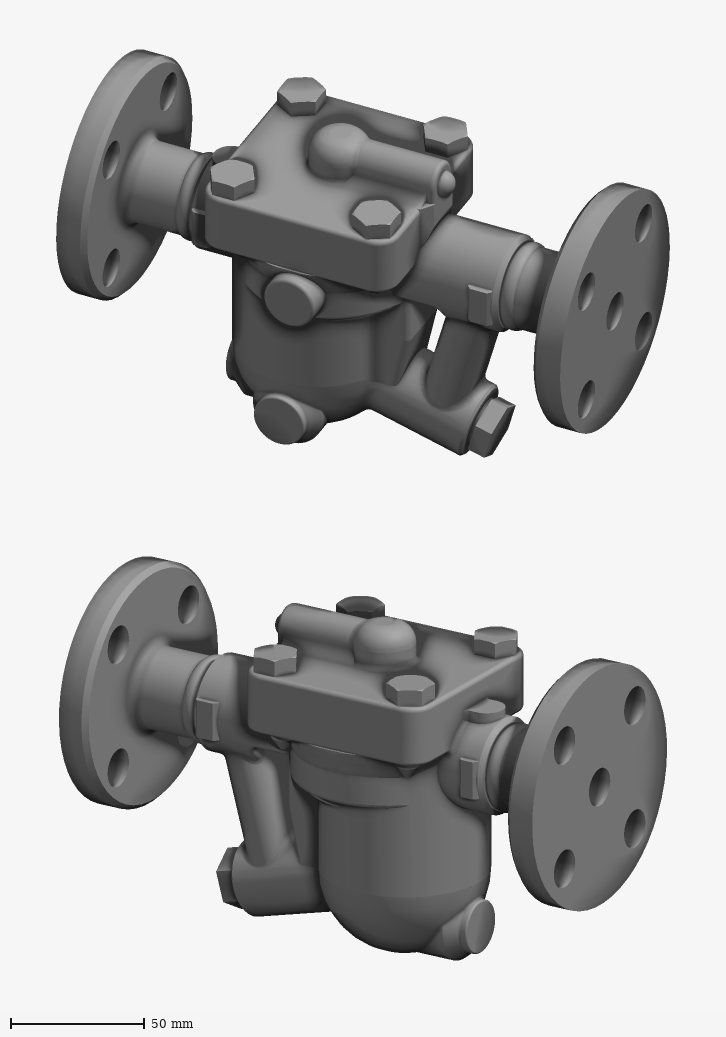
import cadquery as cq
import math


touch_tolerance = 1e-4

pick_margin = 0.5

arc_inset = 1 - math.sqrt(0.5)

face_to_face = 210.0
flange_diameter = 95.0
flange_thickness = 12.0
flange_chamfer = 2.0
bolt_circle = 70.0
bolt_hole_diameter = 15.0
bolt_hole_count = 4
first_bolt_hole_angle = 45.0
bore_diameter = 15.0
bore_depth = 20.0
pipe_diameter = 32.0
hub_fillet = 3.8
weld_inner_x = 64.5
weld_outer_x = 70.3
weld_height = 1.2
port_diameter = 38.0
port_chamfer = 1.8

inlet_pad_length = 7.8
outlet_pad_length = 9.8
pad_outer_x = 62.5
pad_height = 15.0
pads_across = 40.0
pad_chamfer = 1.4
inlet_pad_width = 14.2
inlet_pad_end_x = -62.0
inlet_pad_top_z = 22.2

cover_x = -10.0
cover_side = 80.0
cover_corner = 9.0
cover_top_z = 32.0
joint_z = 22.2
body_flange_bottom_z = 8.6
cover_top_fillet = 1.8
inlet_blend = 2.0
body_flange_fillet = 1.5

bolt_offset = 30.0
bolt_across_flats = 16.0
bolt_head_top_z = 38.5
bolt_head_chamfer = 0.4
bolt_head_chamfer_width = 1.0
lug_offset = 27.5
lug_radius = 4.7
lug_shoulder_z = 4.0
lug_tip_radius = 1.2
lug_tip_z = -0.6

dome_x = -9.5
dome_diameter = 24.0
dome_top_z = 47.0
dome_fillet = 8.0
dome_foot_fillet = 2.0
passage_radius = 8.0
passage_top_z = 45.8
passage_end_x = 33.4
passage_foot_fillet = 5.0
passage_end_fillet = 1.8
passage_slope_z = 22.0
passage_blend = 4.0
boss_arc_rise = 1.0
boss_arc_inset = 1.5
pin_diameter = 10.0
pin_z = 37.0
pin_inset = 0.3

body_x = -18.5
body_radius = 32.5
bottom_z = -82.08
sphere_z = bottom_z + body_radius
barrel_top_z = body_flange_bottom_z + 2 * body_flange_fillet

band_x = -11.5
band_radius = 37.0
band_top_z = -1.2
band_bottom_z = -14.0
band_fillet = 2.0
band_undercut = 3.6
flare_radius = 40.4

plug_diameter = 21.0
plug_fillet = 1.5
upper_plug_x = dome_x
upper_plug_z = -3.0
upper_plug_end_y = -45.0
drain_diameter = 29.0
drain_tip_length = 3.0
drain_cone_length = 8.0
drain_tip_fillet = 0.8
drain_blend = 1.0
inlet_drain_z = -67.0
inlet_drain_end_x = -52.4
front_drain_z = -66.2
front_drain_end_y = -34.8

rib_end_x = 25.6
rib_half_width = 13.8
rib_root_x = 9.7
rib_flat_x = 13.9
rib_root_bow = 0.6
rib_root_sink = 0.15
rib_fillet = 3.0
rib_bend_z = -30.0
rib_foot_x = 20.8
rib_foot_z = -52.0

strainer_angle = 15.0
strainer_diameter = 30.0
strainer_length = 69.7
strainer_chamfer = 1.0
collar_diameter = 20.0
collar_length = 1.5
strainer_hex_across = 21.0
strainer_hex_length = 7.0
strainer_hex_turn = 30.0
leg_radius = 8.5
leg_flat = 1.6
leg_depth = 26.0
leg_top_x = 46.9
leg_top_z = -19.1
leg_reach_up = 12.0
leg_reach_down = 42.0
leg_blend = 3.0
strainer_blend = 4.0

relief_top_z = -7.8
relief_end_x = 39.3
relief_fillet = 3.0
relief_rim_fillet = 2.0


def cylinder(start, direction, diameter, length):
    """Cylinder from a start point along a direction."""
    solid = cq.Solid.makeCylinder(diameter / 2, length, cq.Vector(*start), cq.Vector(*direction))
    return cq.Workplane(obj=solid)


def blend(first, second, radius, region=None):
    """Union of two parts with a fillet where their surfaces meet, optionally only inside a region."""
    joined = first.union(second)
    first_skin = first.val().Shells()[0]
    second_skin = second.val().Shells()[0]
    edges = []
    for edge in joined.edges(region).vals():
        middle = cq.Vertex.makeVertex(*edge.positionAt(0.5).toTuple())
        if max(middle.distance(first_skin), middle.distance(second_skin)) < touch_tolerance:
            edges.append(edge)
    return joined.newObject(edges).fillet(radius)


def hexagon_diameter(across_flats):
    """Diameter across the corners of a hexagon."""
    return across_flats / math.cos(math.pi / 6)


def pipe_end():
    """Flange, hub fillet, pipe and weld bead of the inlet end, as one revolved outline."""
    face_x = -face_to_face / 2
    back_x = face_x + flange_thickness
    flange_radius = flange_diameter / 2
    pipe_radius = pipe_diameter / 2
    fillet_rise = hub_fillet * arc_inset
    weld_middle_x = -(weld_inner_x + weld_outer_x) / 2
    return (
        cq.Workplane("XZ")
        .moveTo(face_x, 0)
        .lineTo(face_x, flange_radius)
        .lineTo(back_x - flange_chamfer, flange_radius)
        .lineTo(back_x, flange_radius - flange_chamfer)
        .lineTo(back_x, pipe_radius + hub_fillet)
        .threePointArc((back_x + fillet_rise, pipe_radius + fillet_rise), (back_x + hub_fillet, pipe_radius))
        .lineTo(-weld_outer_x, pipe_radius)
        .threePointArc((weld_middle_x, pipe_radius + weld_height), (-weld_inner_x, pipe_radius))
        .lineTo(-weld_inner_x, 0)
        .close()
        .revolve(360, (0, 0, 0), (1, 0, 0))
    )


def bore_and_bolt_holes():
    """Blind bore and bolt holes of the inlet flange."""
    face_x = -face_to_face / 2
    holes = cylinder((face_x, 0, 0), (1, 0, 0), bore_diameter, bore_depth)
    for i in range(bolt_hole_count):
        angle = math.radians(first_bolt_hole_angle + i * 360 / bolt_hole_count)
        y = bolt_circle / 2 * math.cos(angle)
        z = bolt_circle / 2 * math.sin(angle)
        holes = holes.union(cylinder((face_x, y, z), (1, 0, 0), bolt_hole_diameter, flange_thickness))
    return holes


def inlet_port():
    port = cylinder((-weld_inner_x, 0, 0), (1, 0, 0), port_diameter, weld_inner_x + body_x)
    return port.faces("<X").chamfer(port_chamfer)


def outlet_port():
    """Outlet port, relieved underneath between the body and the leg."""
    port = cylinder((cover_x, 0, 0), (1, 0, 0), port_diameter, weld_inner_x - cover_x)
    port = port.faces(">X").chamfer(port_chamfer)
    relief_height = port_diameter
    relief = (
        cq.Workplane("XY")
        .box(relief_end_x - cover_x, 2 * port_diameter, relief_height, centered=(False, True, False))
        .translate((cover_x, 0, relief_top_z - relief_height))
        .edges(">X and >Z")
        .fillet(relief_fillet)
    )
    relieved = port.cut(relief)
    rim = cq.selectors.BoxSelector(
        (cover_x + pick_margin, -port_diameter, -port_diameter),
        (relief_end_x + pick_margin, port_diameter, relief_top_z + pick_margin),
    )
    return relieved.edges(rim).edges("not |Y").fillet(relief_rim_fillet)


def wrench_pads():
    """Flat pads on both sides of each port."""
    pads = cq.Workplane("XY")
    for side, length in ((-1, inlet_pad_length), (1, outlet_pad_length)):
        pad = (
            cq.Workplane("XY")
            .box(length, pads_across, pad_height)
            .edges("|Z")
            .chamfer(pad_chamfer)
            .translate((side * (pad_outer_x - length / 2), 0, 0))
        )
        pads = pads.union(pad)
    return pads


def inlet_pad():
    """Round-ended pad on top of the inlet port."""
    end_radius = inlet_pad_width / 2
    round_x = inlet_pad_end_x + end_radius
    run = cover_x - cover_side / 2 - round_x
    block = cq.Workplane("XY").circle(end_radius).extrude(inlet_pad_top_z)
    block = block.union(
        cq.Workplane("XY").box(run, inlet_pad_width, inlet_pad_top_z, centered=(False, True, False))
    )
    return block.translate((round_x, 0, 0))


def plate(bottom_z, top_z):
    """Square plate with rounded corners, centred on the cover."""
    return (
        cq.Workplane("XY", origin=(cover_x, 0, bottom_z))
        .rect(cover_side, cover_side)
        .extrude(top_z - bottom_z)
        .edges("|Z")
        .fillet(cover_corner)
    )


def cover():
    return plate(joint_z, cover_top_z).faces(">Z").edges().fillet(cover_top_fillet)


def body_flange():
    return plate(body_flange_bottom_z, joint_z).faces("<Z").edges().fillet(body_flange_fillet)


def cover_bolts():
    """Hexagon heads, each turned a quarter from its neighbours."""
    bolts = cq.Workplane("XY")
    head_diameter = hexagon_diameter(bolt_across_flats)
    head_height = bolt_head_top_z - cover_top_z
    rounding = (
        cq.Workplane("XY")
        .circle(head_diameter / 2)
        .extrude(head_height)
        .faces(">Z")
        .chamfer(bolt_head_chamfer, bolt_head_chamfer_width)
    )
    for side_x in (-1, 1):
        for side_y in (-1, 1):
            head = (
                cq.Workplane("XY")
                .polygon(6, head_diameter)
                .extrude(head_height)
                .intersect(rounding)
                .rotate((0, 0, 0), (0, 0, 1), 90 if side_x != side_y else 0)
            )
            x = cover_x + side_x * bolt_offset
            bolts = bolts.union(head.translate((x, side_y * bolt_offset, cover_top_z)))
    return bolts


def bolt_lugs():
    """Pointed lugs under the body flange, one near each cover bolt."""
    root_z = body_flange_bottom_z + body_flange_fillet
    lug = (
        cq.Workplane("XZ")
        .moveTo(0, root_z)
        .lineTo(lug_radius, root_z)
        .lineTo(lug_radius, lug_shoulder_z)
        .lineTo(lug_tip_radius, lug_tip_z)
        .lineTo(0, lug_tip_z)
        .close()
        .revolve(360, (0, 0, 0), (0, 1, 0))
    )
    lugs = cq.Workplane("XY")
    for side_x in (-1, 1):
        for side_y in (-1, 1):
            lugs = lugs.union(lug.translate((dome_x + side_x * lug_offset, side_y * lug_offset, 0)))
    return lugs


def dome():
    """Round-topped dome on the cover."""
    height = dome_top_z - cover_top_z
    whole = cylinder((dome_x, 0, cover_top_z), (0, 0, 1), dome_diameter, height)
    return whole.faces(">Z").edges().fillet(dome_fillet)


def dome_foot():
    """Concave fillet ring around the dome."""
    radius = dome_diameter / 2
    arc = dome_foot_fillet * arc_inset
    return (
        cq.Workplane("XZ")
        .moveTo(0, cover_top_z)
        .lineTo(radius + dome_foot_fillet, cover_top_z)
        .threePointArc((radius + arc, cover_top_z + arc), (radius, cover_top_z + dome_foot_fillet))
        .lineTo(0, cover_top_z + dome_foot_fillet)
        .close()
        .revolve(360, (0, 0, 0), (0, 1, 0))
        .translate((dome_x, 0, 0))
    )


def passage_tube():
    """Arched tube from the dome to the outlet side."""
    centre_z = passage_top_z - passage_radius
    return (
        cq.Workplane("YZ", origin=(cover_x, 0, 0))
        .moveTo(-passage_radius, cover_top_z)
        .lineTo(-passage_radius, centre_z)
        .threePointArc((0, passage_top_z), (passage_radius, centre_z))
        .lineTo(passage_radius, cover_top_z)
        .close()
        .extrude(passage_end_x - cover_x)
        .faces(">X")
        .edges(">Z")
        .fillet(passage_end_fillet)
    )


def passage_foot():
    """Concave fillets along both sides of the tube, where it rises from the cover."""
    r = passage_radius
    f = passage_foot_fillet
    arc = f * arc_inset
    return (
        cq.Workplane("YZ", origin=(cover_x, 0, cover_top_z))
        .moveTo(-r - f, 0)
        .threePointArc((-r - arc, arc), (-r, f))
        .lineTo(r, f)
        .threePointArc((r + arc, arc), (r + f, 0))
        .close()
        .extrude(cover_side / 2)
    )


def passage_boss():
    """Upright boss on the outlet side of the cover, under the end of the tube."""
    foot_x = cover_x + cover_side / 2
    half_root = passage_radius + passage_foot_fillet
    plan = (
        cq.Workplane("XY", origin=(0, 0, band_top_z))
        .moveTo(cover_x, -half_root)
        .lineTo(foot_x, -half_root)
        .threePointArc((foot_x + boss_arc_rise, -half_root + boss_arc_inset), (passage_end_x, -passage_radius))
        .lineTo(passage_end_x, passage_radius)
        .threePointArc((foot_x + boss_arc_rise, half_root - boss_arc_inset), (foot_x, half_root))
        .lineTo(cover_x, half_root)
        .close()
        .extrude(cover_top_z - band_top_z)
    )
    side = (
        cq.Workplane("XZ")
        .moveTo(cover_x, band_top_z)
        .lineTo(rib_end_x, band_top_z)
        .lineTo(passage_end_x, passage_slope_z)
        .lineTo(passage_end_x, cover_top_z)
        .lineTo(cover_x, cover_top_z)
        .close()
        .extrude(half_root, both=True)
    )
    return plan.intersect(side)


def lifting_pin():
    pin = cq.Workplane("XY").sphere(pin_diameter / 2).rotate((0, 0, 0), (0, 1, 0), 90)
    return pin.translate((passage_end_x - pin_inset, 0, pin_z))


def trap_body():
    """Upright barrel closed by a hemisphere."""
    barrel = cylinder((body_x, 0, sphere_z), (0, 0, 1), 2 * body_radius, barrel_top_z - sphere_z)
    return barrel.union(cq.Workplane("XY").sphere(body_radius).translate((body_x, 0, sphere_z)))


def chamber_band():
    """Valve chamber: a cylinder that curves back to the body below and flares up to the body flange."""
    undercut_radius = band_radius - band_fillet - band_undercut
    undercut_z = band_bottom_z - band_undercut
    bow = band_undercut * arc_inset
    edge_bow = band_fillet * arc_inset
    edge_top_z = band_bottom_z + band_fillet
    profile = (
        cq.Workplane("XZ")
        .moveTo(0, undercut_z)
        .lineTo(undercut_radius, undercut_z)
        .threePointArc((undercut_radius + bow, band_bottom_z - bow), (band_radius - band_fillet, band_bottom_z))
        .threePointArc((band_radius - edge_bow, band_bottom_z + edge_bow), (band_radius, edge_top_z))
        .lineTo(band_radius, band_top_z)
        .lineTo(flare_radius, body_flange_bottom_z)
        .lineTo(0, body_flange_bottom_z)
        .close()
    )
    band = profile.revolve(360, (0, 0, 0), (0, 1, 0)).translate((band_x, 0, 0))
    return band.intersect(plate(undercut_z, cover_top_z))


def passage_rib():
    """Rib down the outlet side, flared into the round body and cut back at its foot."""
    w = rib_half_width
    root_angle = math.acos((rib_root_x - body_x) / body_radius)
    root_y = body_radius * math.sin(root_angle) - rib_root_sink
    bow = rib_root_bow
    middle_x = (rib_root_x + rib_flat_x) / 2 - bow / 2
    middle_y = (root_y + w) / 2 - bow
    plan = (
        cq.Workplane("XY", origin=(0, 0, rib_foot_z))
        .moveTo(body_x, -root_y)
        .lineTo(rib_root_x, -root_y)
        .threePointArc((middle_x, -middle_y), (rib_flat_x, -w))
        .lineTo(rib_end_x, -w)
        .lineTo(rib_end_x, w)
        .lineTo(rib_flat_x, w)
        .threePointArc((middle_x, middle_y), (rib_root_x, root_y))
        .lineTo(body_x, root_y)
        .close()
        .extrude(band_top_z - rib_foot_z)
    )
    side = (
        cq.Workplane("XZ")
        .moveTo(body_x, band_top_z)
        .lineTo(rib_end_x, band_top_z)
        .lineTo(rib_end_x, rib_bend_z)
        .lineTo(rib_foot_x, rib_foot_z)
        .lineTo(body_x, rib_foot_z)
        .close()
        .extrude(body_radius, both=True)
    )
    rib = plan.intersect(side)
    outer = cq.selectors.BoxSelector(
        (rib_foot_x, -body_radius, rib_foot_z + pick_margin),
        (rib_end_x + pick_margin, body_radius, band_top_z - pick_margin),
    )
    return rib.edges(outer).edges("not |Y").fillet(rib_fillet)


def upper_plug():
    plug = cylinder((upper_plug_x, upper_plug_end_y, upper_plug_z), (0, 1, 0), plug_diameter, -upper_plug_end_y)
    return plug.faces("<Y").edges().fillet(plug_fillet)


def drain_boss(reach):
    """Stepped boss along +Z whose plug tip starts at the origin."""
    tip_radius = plug_diameter / 2
    base_radius = drain_diameter / 2
    return (
        cq.Workplane("XZ")
        .moveTo(0, 0)
        .lineTo(tip_radius, 0)
        .lineTo(tip_radius, drain_tip_length)
        .lineTo(base_radius, drain_cone_length)
        .lineTo(base_radius, reach)
        .lineTo(0, reach)
        .close()
        .revolve(360, (0, 0, 0), (0, 1, 0))
        .faces("<Z")
        .edges()
        .fillet(drain_tip_fillet)
    )


def inlet_drain():
    boss = drain_boss(body_x - inlet_drain_end_x).rotate((0, 0, 0), (0, 1, 0), 90)
    return boss.translate((inlet_drain_end_x, 0, inlet_drain_z))


def front_drain():
    boss = drain_boss(-front_drain_end_y).rotate((0, 0, 0), (1, 0, 0), -90)
    return boss.translate((body_x, front_drain_end_y, front_drain_z))


def drained_body():
    """Round body with both drain bosses, rounded at their steps and where they leave the sphere."""
    joined = trap_body().union(inlet_drain()).union(front_drain())
    past_tip = drain_tip_fillet + pick_margin
    below_barrel = cq.selectors.BoxSelector(
        (inlet_drain_end_x + past_tip, front_drain_end_y + past_tip, bottom_z),
        (0, body_radius, sphere_z - pick_margin),
    )
    return joined.edges(below_barrel).edges("not %LINE").fillet(drain_blend)


def strainer():
    """Strainer barrel with its collar and hexagon plug, inclined from the sphere centre."""
    barrel = cylinder((0, 0, 0), (1, 0, 0), strainer_diameter, strainer_length)
    barrel = barrel.faces(">X").chamfer(strainer_chamfer)
    collar = cylinder((strainer_length, 0, 0), (1, 0, 0), collar_diameter, collar_length)
    hexagon = (
        cq.Workplane("YZ", origin=(strainer_length + collar_length, 0, 0))
        .polygon(6, hexagon_diameter(strainer_hex_across))
        .extrude(strainer_hex_length)
        .rotate((0, 0, 0), (1, 0, 0), strainer_hex_turn)
    )
    whole = barrel.union(collar).union(hexagon)
    return whole.rotate((0, 0, 0), (0, 1, 0), strainer_angle).translate((body_x, 0, sphere_z))


def leg():
    """Leg with widely rounded corners, square to the strainer axis."""
    return (
        cq.Workplane("XY", origin=(0, 0, -leg_reach_down))
        .rect(2 * leg_radius + leg_flat, leg_depth)
        .extrude(leg_reach_down + leg_reach_up)
        .edges("|Z")
        .fillet(leg_radius)
        .rotate((0, 0, 0), (0, 1, 0), strainer_angle)
        .translate((leg_top_x, 0, leg_top_z))
    )


def body_with_outlet():
    """Round body, drains, strainer, leg and outlet port, blended where they meet."""
    body = blend(drained_body(), strainer(), strainer_blend)
    outlet = blend(outlet_port(), leg(), leg_blend)
    leg_foot = cq.selectors.BoxSelector(
        (rib_end_x, -port_diameter, bottom_z), (leg_top_x + leg_reach_up, port_diameter, leg_top_z)
    )
    return blend(body, outlet, leg_blend, leg_foot)


def inlet_with_flange():
    """Inlet port and its pad, blended into the side of the body flange."""
    inlet = inlet_port().union(inlet_pad())
    flange_side = cq.selectors.BoxSelector(
        (-weld_inner_x, -port_diameter, 0), (body_x - pick_margin, port_diameter, joint_z)
    )
    return blend(inlet, body_flange(), inlet_blend, flange_side)


inlet_end = pipe_end().cut(bore_and_bolt_holes())
result = inlet_end.union(inlet_end.mirror("YZ"))
for piece in (
    body_with_outlet(),
    inlet_with_flange(),
    cover(),
    wrench_pads(),
    chamber_band(),
    passage_rib(),
    upper_plug(),
    bolt_lugs(),
    blend(dome(), passage_tube(), passage_blend),
    dome_foot(),
    passage_foot(),
    passage_boss(),
    lifting_pin(),
    cover_bolts(),
):
    result = result.union(piece, clean=False)